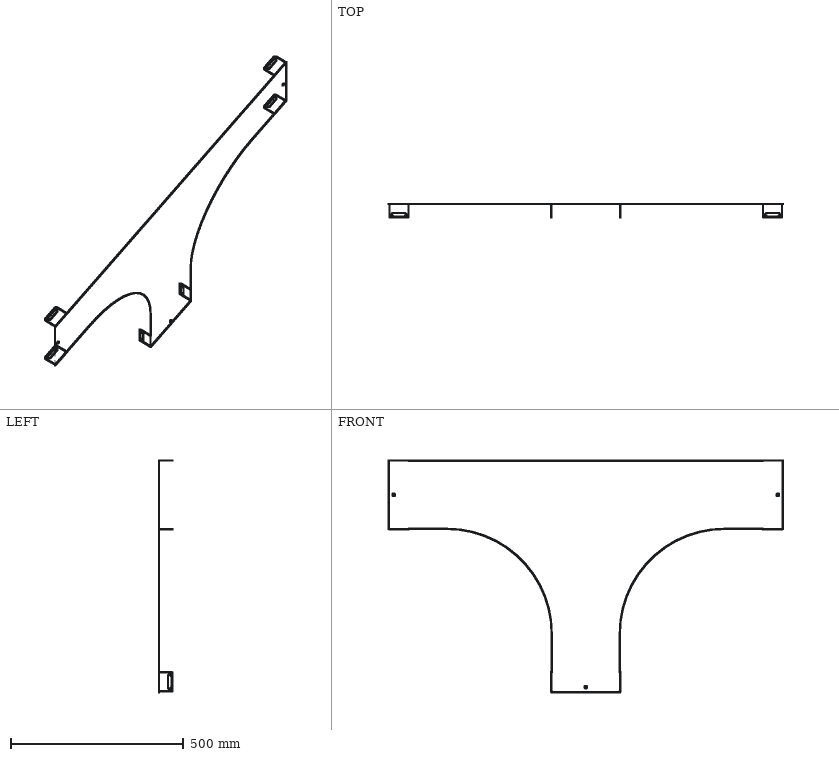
import cadquery as cq
import math

length = 1146.0
height = 674.0
depth = 40.0
sheet = 1.0
outer_width = 200.0
corner_radius = 304.0

tab_length = 56.0
tab_corner_radius = 5.0
tab_inset = 2.0
slot_length = 41.0
slot_width = 9.0
slot_tip_offset = 8.6

hole_diameter = 6.4
hole_inset = 15.0

branch_width = outer_width - 2 * sheet
half_length = length / 2
half_stem = branch_width / 2
arm_top = height - sheet
arm_bottom = arm_top - branch_width
arm_middle = (arm_top + arm_bottom) / 2
arc_start = half_stem + corner_radius
arc_end = arm_bottom - corner_radius
arc_middle_x = arc_start - corner_radius * math.cos(math.radians(45))
arc_middle_z = arc_end + corner_radius * math.cos(math.radians(45))


def tee_plate():
    """Flat T-shaped sheet with rounded inside corners."""
    return (
        cq.Workplane("XZ")
        .moveTo(-half_length, arm_top)
        .lineTo(half_length, arm_top)
        .lineTo(half_length, arm_bottom)
        .lineTo(arc_start, arm_bottom)
        .threePointArc((arc_middle_x, arc_middle_z), (half_stem, arc_end))
        .lineTo(half_stem, 0)
        .lineTo(-half_stem, 0)
        .lineTo(-half_stem, arc_end)
        .threePointArc((-arc_middle_x, arc_middle_z), (-arc_start, arm_bottom))
        .lineTo(-half_length, arm_bottom)
        .close()
        .extrude(sheet)
    )


def end_holes():
    """Cutters for the hole near the open end of each branch."""
    arm_hole_x = half_length - hole_inset
    centres = [(-arm_hole_x, arm_middle), (arm_hole_x, arm_middle), (0, hole_inset)]
    return cq.Workplane("XZ").pushPoints(centres).circle(hole_diameter / 2).extrude(sheet)


def slotted_tab():
    """Tab lying flat on Z = 0, centred on X, reaching from the back face to -Y."""
    slot_y = slot_tip_offset - depth
    tab = (
        cq.Workplane("XY")
        .center(0, -depth / 2)
        .rect(tab_length, depth)
        .extrude(sheet)
        .faces("<Y")
        .edges("|Z")
        .fillet(tab_corner_radius)
    )
    slot = cq.Workplane("XY").center(0, slot_y).slot2D(slot_length, slot_width).extrude(sheet)
    return tab.cut(slot)


result = tee_plate().cut(end_holes())

tab_from_end = tab_inset + tab_length / 2
flat_tab = slotted_tab()
upright_tab = flat_tab.rotate((0, 0, 0), (0, 1, 0), 90)

for tab_x in (tab_from_end - half_length, half_length - tab_from_end):
    for tab_z in (arm_top, arm_bottom - sheet):
        result = result.union(flat_tab.translate((tab_x, 0, tab_z)))

for tab_x in (-half_stem - sheet, half_stem):
    result = result.union(upright_tab.translate((tab_x, 0, tab_from_end)))